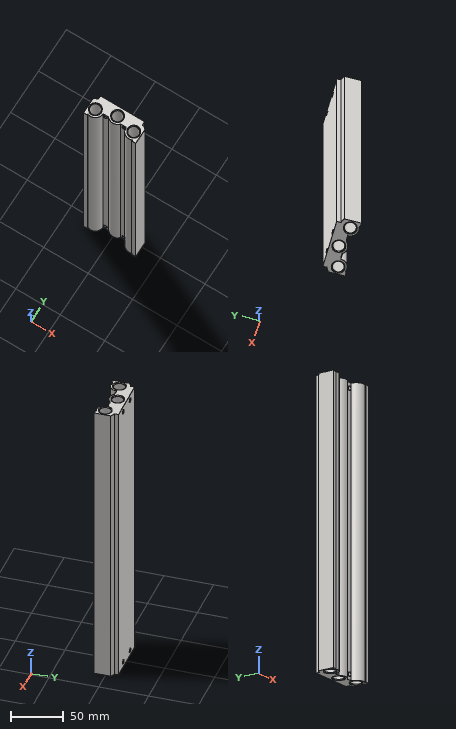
import cadquery as cq
import math

width = 59.0
depth = 23.5
length = 299.0

back_half_width = 25.0
step_y = -4.1
shoulder_radius = 11.0
shoulder_end_y = -6.5
web_front_y = -14.5
foot_inner_x = 25.0
wall_radius = 8.7

center_bore_y = -9.0
side_bore_x = 21.6
side_bore_y = -14.4
bore_diameter = 11.445
bore_mouth_diameter = 13.2
bore_mouth_depth = (bore_mouth_diameter - bore_diameter) / 2

mount_hole_diameter = 4.3
mount_hole_x = 10.5
mount_hole_end_distance = 6.0

half_width = width / 2
bore_centers = [
    (-side_bore_x, side_bore_y),
    (0, center_bore_y),
    (side_bore_x, side_bore_y),
]


def arc_y(center_y, offset_x):
    """Front Y of a bore wall at a given X offset from its bore axis."""
    return center_y - math.sqrt(wall_radius**2 - offset_x**2)


def make_profile_body():
    """Extruded cross-section, symmetric about X = 0."""
    center_wall_x = math.sqrt(wall_radius**2 - (center_bore_y - web_front_y) ** 2)
    side_wall_x = side_bore_x - math.sqrt(wall_radius**2 - (side_bore_y - web_front_y) ** 2)
    foot_top_y = arc_y(side_bore_y, foot_inner_x - side_bore_x)
    diagonal = wall_radius * math.sqrt(0.5)
    side_arc_mid = (side_bore_x - diagonal, side_bore_y - diagonal)
    half = (
        cq.Workplane("XY")
        .moveTo(0, 0)
        .lineTo(back_half_width, 0)
        .lineTo(back_half_width, step_y)
        .radiusArc((half_width, shoulder_end_y), shoulder_radius)
        .lineTo(half_width, -depth)
        .lineTo(foot_inner_x, -depth)
        .lineTo(foot_inner_x, foot_top_y)
        .threePointArc(side_arc_mid, (side_wall_x, web_front_y))
        .lineTo(center_wall_x, web_front_y)
        .threePointArc((diagonal, center_bore_y - diagonal), (0, center_bore_y - wall_radius))
        .close()
        .extrude(length)
    )
    return half.union(half.mirror("YZ")).clean()


def cut_bores(body):
    """Cut the three through bores, with a chamfered mouth at both ends."""
    bore_radius = bore_diameter / 2
    mouth_radius = bore_mouth_diameter / 2
    for x, y in bore_centers:
        bore = (
            cq.Workplane("XZ")
            .polyline([
                (0, 0),
                (mouth_radius, 0),
                (bore_radius, bore_mouth_depth),
                (bore_radius, length - bore_mouth_depth),
                (mouth_radius, length),
                (0, length),
            ])
            .close()
            .revolve(360, (0, 0, 0), (0, 1, 0))
            .translate((x, y, 0))
        )
        body = body.cut(bore)
    return body


def cut_mount_holes(body):
    """Cut the four cross holes through the web, two near each end."""
    centers = [
        (x, z)
        for x in (-mount_hole_x, mount_hole_x)
        for z in (mount_hole_end_distance, length - mount_hole_end_distance)
    ]
    holes = cq.Workplane("XZ").pushPoints(centers).circle(mount_hole_diameter / 2).extrude(depth)
    return body.cut(holes)


result = cut_mount_holes(cut_bores(make_profile_body()))